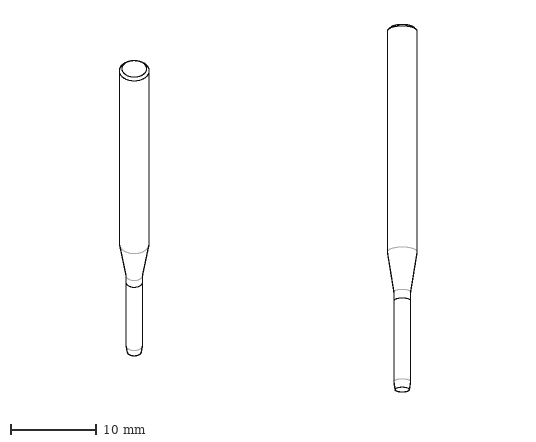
import cadquery as cq

TOTAL_LENGTH = 45.0
SHANK_BOTTOM = 17.15
TAPER_LENGTH = 5.0
CUTTER_LENGTH = 11.05
LEAD_LENGTH = 1.0

SHANK_DIAMETER = 3.5
CUTTER_DIAMETER = 2.0
NECK_DIAMETER = CUTTER_DIAMETER
TIP_DIAMETER = 1.7

TOP_CHAMFER = 0.3


def revolve_profile(outline):
    """Turn a closed (radius, height) outline about the Z axis."""
    return cq.Workplane("XZ").polyline(outline).close().revolve(360, (0, 0, 0), (0, 1, 0))


def make_holder():
    """Chamfered shank that tapers down to a short neck."""
    shank_radius = SHANK_DIAMETER / 2
    neck_radius = NECK_DIAMETER / 2
    return revolve_profile([
        (0, CUTTER_LENGTH),
        (neck_radius, CUTTER_LENGTH),
        (neck_radius, SHANK_BOTTOM - TAPER_LENGTH),
        (shank_radius, SHANK_BOTTOM),
        (shank_radius, TOTAL_LENGTH - TOP_CHAMFER),
        (shank_radius - TOP_CHAMFER, TOTAL_LENGTH),
        (0, TOTAL_LENGTH),
    ])


def make_cutter():
    """Straight cutting length with a tapered lead, seated under the neck."""
    cutter_radius = CUTTER_DIAMETER / 2
    return revolve_profile([
        (0, 0),
        (TIP_DIAMETER / 2, 0),
        (cutter_radius, LEAD_LENGTH),
        (cutter_radius, CUTTER_LENGTH),
        (0, CUTTER_LENGTH),
    ])


holder = make_holder()
cutter = make_cutter()

result = cq.Compound.makeCompound([holder.val(), cutter.val()])